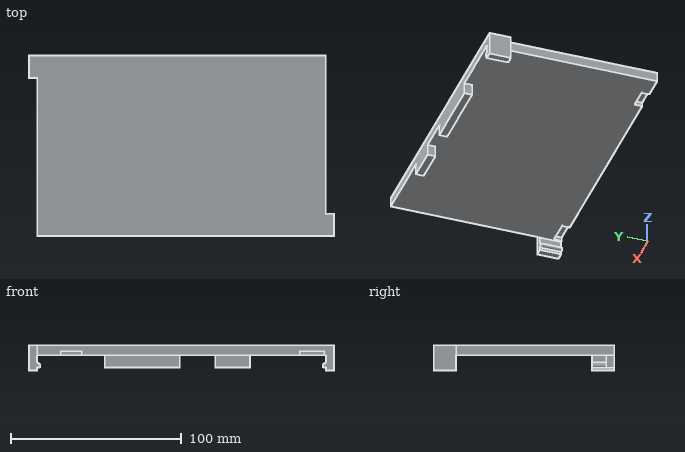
import cadquery as cq

LENGTH = 179.0
WIDTH = 106.0
HEIGHT = 15.0

PLATE_THICKNESS = 6.0
CLIP_THICKNESS = 4.8
CLIP_WIDTH = 13.2

BARB_BOTTOM = 1.8
BARB_TOP = 5.0
BARB_REACH = 2.0
BARB_TIP_HEIGHT = 3.0
BARB_UNDERSIDE = 0.7

TAB_SPANS = [(44.4, 88.6), (109.2, 129.8)]
TAB_DROP = 7.2
TAB_DEPTH = CLIP_THICKNESS

NOTCH_SPANS = [(18.8, 31.1), (159.0, 173.1)]
NOTCH_HEIGHT = 2.5
NOTCH_DEPTH = CLIP_THICKNESS

LEFT = -LENGTH / 2
FRONT = -WIDTH / 2
REAR = WIDTH / 2
PLATE_BOTTOM = HEIGHT - PLATE_THICKNESS


def box(x_span, y_span, z_span):
    """Box between the given (low, high) limits along each axis."""
    spans = (x_span, y_span, z_span)
    sizes = [high - low for low, high in spans]
    corner = tuple(low for low, high in spans)
    return cq.Workplane("XY").box(*sizes, centered=False).translate(corner)


def make_plate():
    half_length = LENGTH / 2 - CLIP_THICKNESS
    return box((-half_length, half_length), (FRONT, REAR), (PLATE_BOTTOM, HEIGHT))


def make_barb():
    """Barb with a flat underside and one smooth curve from the nose up to the wall."""
    inner_face = LEFT + CLIP_THICKNESS
    underside_end = (inner_face + BARB_UNDERSIDE, BARB_BOTTOM)
    tip = (inner_face + BARB_REACH, BARB_TIP_HEIGHT)
    root = (inner_face, BARB_TOP)
    forward = (1, 0)
    up = (0, 1)
    up_and_back = (-1, 1)
    return (
        cq.Workplane("XZ", origin=(0, REAR, 0))
        .moveTo(LEFT, BARB_BOTTOM)
        .lineTo(*underside_end)
        .spline([tip, root], tangents=[forward, up, up_and_back], includeCurrent=True)
        .lineTo(LEFT, BARB_TOP)
        .close()
        .extrude(CLIP_WIDTH)
    )


def make_rear_left_clip():
    wall = box((LEFT, LEFT + CLIP_THICKNESS), (REAR - CLIP_WIDTH, REAR), (0, HEIGHT))
    return wall.union(make_barb())


rear_left_clip = make_rear_left_clip()
front_right_clip = rear_left_clip.rotate((0, 0, 0), (0, 0, 1), 180)
result = make_plate().union(rear_left_clip).union(front_right_clip)

for start, end in TAB_SPANS:
    tab = box(
        (LEFT + start, LEFT + end),
        (REAR - TAB_DEPTH, REAR),
        (PLATE_BOTTOM - TAB_DROP, HEIGHT),
    )
    result = result.union(tab)

for start, end in NOTCH_SPANS:
    notch = box(
        (LEFT + start, LEFT + end),
        (FRONT, FRONT + NOTCH_DEPTH),
        (PLATE_BOTTOM, PLATE_BOTTOM + NOTCH_HEIGHT),
    )
    result = result.cut(notch)